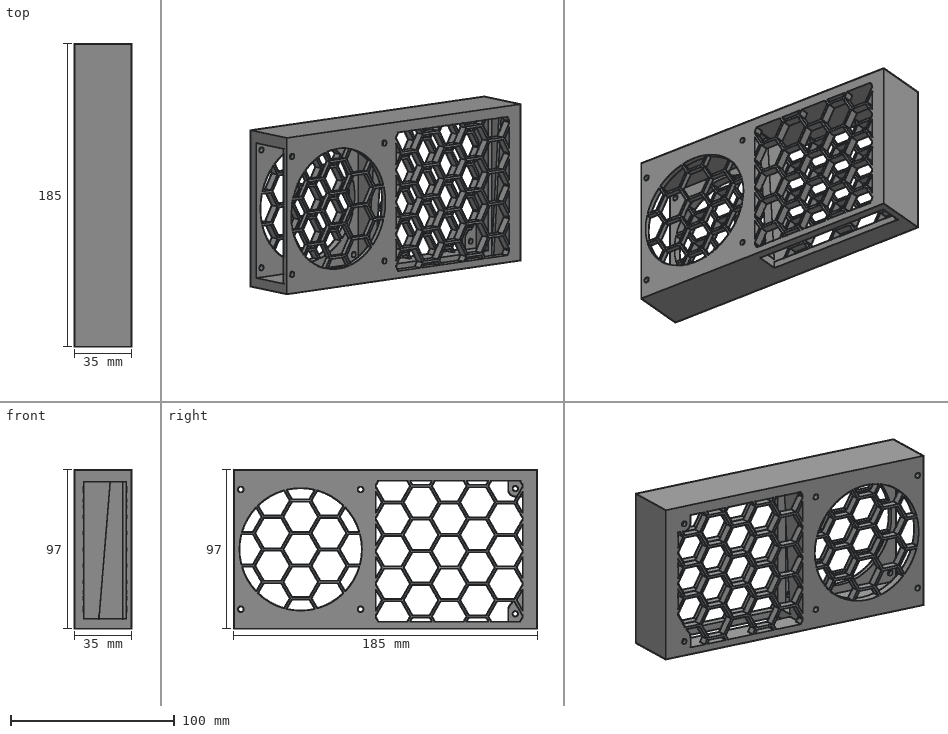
import cadquery as cq
import math

WIDTH = 35.0
LENGTH = 185.0
HEIGHT = 97.0
LEFT_FACE = -WIDTH / 2
RIGHT_FACE = WIDTH / 2
FRONT_FACE = -LENGTH / 2
BACK_FACE = LENGTH / 2

THICK_WALL = 5.5
THIN_WALL = 3.3
FAN_LEFT = LEFT_FACE + THICK_WALL
FAN_RIGHT = RIGHT_FACE - THIN_WALL
REAR_LEFT = LEFT_FACE + THIN_WALL
REAR_RIGHT = RIGHT_FACE - THICK_WALL

FAN_FLOOR = -HEIGHT / 2 + 6.1
FAN_CEILING = HEIGHT / 2 - 7.2
FAN_CENTER_Y = -51.8
FAN_CENTER_Z = 0.0
FAN_DIAMETER = 74.5
FAN_HOLE_SPACING = 73.1
FAN_HOLE_DIAMETER = 3.3

WINDOW_FRONT = -6.0
WINDOW_BACK = 83.6
WINDOW_BOTTOM = -44.0
WINDOW_TOP = 41.8
WINDOW_CENTER_Y = (WINDOW_FRONT + WINDOW_BACK) / 2
WINDOW_CENTER_Z = (WINDOW_BOTTOM + WINDOW_TOP) / 2
WINDOW_HOLE_DIAMETER = 3.1
WINDOW_HOLE_Y = 79.2
WINDOW_HOLE_SPACING = 76.5

CORNER_WIDTH = 8.9
CORNER_RADIUS = 4.5
UPPER_CORNER_HEIGHT = 9.6
LOWER_CORNER_HEIGHT = 8.5
LOWER_CORNER_RISE = 11.5

STRUT = 1.57
GRILLE_DEPTH = 5.5
CELL_PITCH = 18.3 + STRUT

PARTITION_THICKNESS = 6.0
PARTITION_FRONT = WINDOW_FRONT - PARTITION_THICKNESS
SLANT_AT_FLOOR = LEFT_FACE + 15.0
SLANT_AT_CEILING = LEFT_FACE + 21.8
POCKET_END = BACK_FACE - 4.5

SLOT_LEFT = LEFT_FACE + 14.8
SLOT_END = BACK_FACE - 6.3


def block(x_range, y_range, z_range):
    """Box between the given pairs of limits."""
    sizes = [high - low for low, high in (x_range, y_range, z_range)]
    corner = (x_range[0], y_range[0], z_range[0])
    return cq.Workplane("XY").box(*sizes, centered=False).translate(corner)


def side_sketch():
    """Workplane on the left face, with local axes along Y and Z and normal +X."""
    return cq.Workplane("YZ", origin=(LEFT_FACE, 0, 0))


def left_window(depth):
    """Left window outline extruded from the left face, without its two solid back corners."""
    corner_front = WINDOW_BACK - CORNER_WIDTH
    upper_step = WINDOW_TOP - UPPER_CORNER_HEIGHT
    lower_step = WINDOW_BOTTOM + LOWER_CORNER_HEIGHT
    slope = math.atan2(LOWER_CORNER_RISE, CORNER_WIDTH)
    tangent = CORNER_RADIUS * math.tan((math.pi / 2 - slope) / 2)
    slope_start = (corner_front + tangent * math.cos(slope), lower_step + tangent * math.sin(slope))
    return (
        side_sketch()
        .moveTo(WINDOW_FRONT, WINDOW_BOTTOM)
        .lineTo(corner_front, WINDOW_BOTTOM)
        .lineTo(corner_front, lower_step - tangent)
        .tangentArcPoint(slope_start, relative=False)
        .lineTo(WINDOW_BACK, lower_step + LOWER_CORNER_RISE)
        .lineTo(WINDOW_BACK, upper_step)
        .lineTo(corner_front + CORNER_RADIUS, upper_step)
        .tangentArcPoint((corner_front, upper_step + CORNER_RADIUS), relative=False)
        .lineTo(corner_front, WINDOW_TOP)
        .lineTo(WINDOW_FRONT, WINDOW_TOP)
        .close()
        .extrude(depth)
    )


def fan_shape():
    """Round fan opening through the full width."""
    return side_sketch().center(FAN_CENTER_Y, FAN_CENTER_Z).circle(FAN_DIAMETER / 2).extrude(WIDTH)


def honeycomb(center_y, center_z, reach):
    """Hexagonal cells through the full width, with one cell on the given centre."""
    column_pitch = CELL_PITCH * math.sqrt(3) / 2
    cell_diameter = (CELL_PITCH - STRUT) * 2 / math.sqrt(3)
    centers = []
    for column in range(-reach, reach + 1):
        stagger = CELL_PITCH / 2 * (column % 2)
        for row in range(-reach, reach + 1):
            centers.append((center_y + column * column_pitch, center_z + row * CELL_PITCH + stagger))
    return side_sketch().pushPoints(centers).polygon(6, cell_diameter).extrude(WIDTH)


def screw_holes(centers, diameter, depth):
    """Screw holes of the given depth from the left face."""
    return side_sketch().pushPoints(centers).circle(diameter / 2).extrude(depth)


def slanted_cut(y_range, bottom):
    """Cut between two Y limits whose left side leans to the right as it rises."""
    lean = (SLANT_AT_CEILING - SLANT_AT_FLOOR) / (FAN_CEILING - FAN_FLOOR)
    slant_at_bottom = SLANT_AT_FLOOR + lean * (bottom - FAN_FLOOR)
    start, end = y_range
    return (
        cq.Workplane("XZ", origin=(0, start, 0))
        .polyline([
            (slant_at_bottom, bottom),
            (REAR_RIGHT, bottom),
            (REAR_RIGHT, FAN_CEILING),
            (SLANT_AT_CEILING, FAN_CEILING),
        ])
        .close()
        .extrude(start - end)
    )


shell = block((LEFT_FACE, RIGHT_FACE), (FRONT_FACE, BACK_FACE), (-HEIGHT / 2, HEIGHT / 2))

fan_chamber = block((FAN_LEFT, FAN_RIGHT), (FRONT_FACE, PARTITION_FRONT), (FAN_FLOOR, FAN_CEILING))
rear_chamber = block((REAR_LEFT, REAR_RIGHT), (WINDOW_FRONT, WINDOW_BACK), (WINDOW_BOTTOM, WINDOW_TOP))
shell = shell.cut(fan_chamber).cut(rear_chamber)

slot = block((SLOT_LEFT, REAR_RIGHT), (WINDOW_FRONT, SLOT_END), (-HEIGHT / 2, WINDOW_TOP))
duct = slanted_cut((PARTITION_FRONT, WINDOW_FRONT), FAN_FLOOR)
pocket = slanted_cut((SLOT_END, POCKET_END), -HEIGHT / 2)
shell = shell.cut(slot).cut(duct).cut(pocket)

shell = shell.union(left_window(GRILLE_DEPTH))

right_window = block((REAR_RIGHT, RIGHT_FACE), (WINDOW_FRONT, WINDOW_BACK), (WINDOW_BOTTOM, WINDOW_TOP))
windows = left_window(GRILLE_DEPTH).union(right_window)
shell = shell.cut(fan_shape().intersect(honeycomb(FAN_CENTER_Y, FAN_CENTER_Z, 3)))
shell = shell.cut(windows.intersect(honeycomb(WINDOW_CENTER_Y, WINDOW_CENTER_Z, 3)))

fan_hole_offset = FAN_HOLE_SPACING / 2
fan_holes = [
    (FAN_CENTER_Y + side * fan_hole_offset, FAN_CENTER_Z + level * fan_hole_offset)
    for side in (-1, 1)
    for level in (-1, 1)
]
window_holes = [
    (WINDOW_HOLE_Y, WINDOW_CENTER_Z + level * WINDOW_HOLE_SPACING / 2)
    for level in (-1, 1)
]
shell = shell.cut(screw_holes(fan_holes, FAN_HOLE_DIAMETER, WIDTH))
result = shell.cut(screw_holes(window_holes, WINDOW_HOLE_DIAMETER, THIN_WALL))